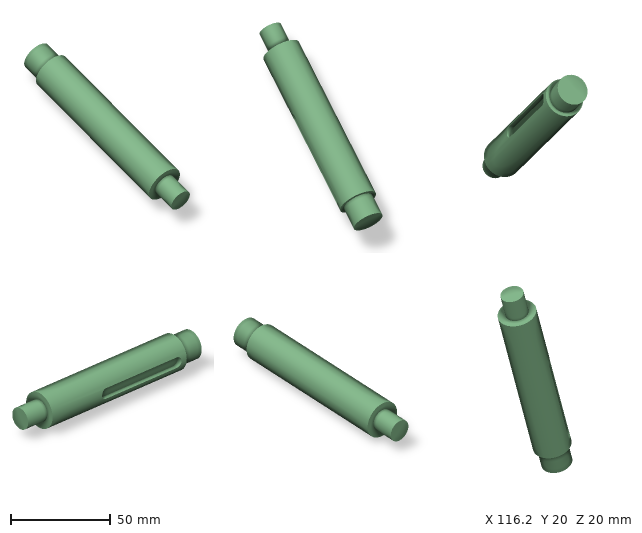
import cadquery as cq

total_length = 116.2
body_diameter = 20.0
left_journal_diameter = 16.0
left_journal_length = 12.0
right_journal_diameter = 12.0
right_journal_length = 13.0
body_length = total_length - left_journal_length - right_journal_length

keyway_width = 6.0
keyway_depth = 3.0
keyway_start = 3.5
keyway_length = 54.0


def shaft_step(start, length, diameter):
    """Cylinder along X beginning at the given X position."""
    return cq.Workplane("YZ", origin=(start, 0, 0)).circle(diameter / 2).extrude(length)


def keyway_cutter():
    """Round-ended bar reaching from the keyway floor out to the body surface."""
    center_x = left_journal_length + keyway_start + keyway_length / 2
    floor_y = body_diameter / 2 - keyway_depth
    return (
        cq.Workplane("XZ", origin=(center_x, floor_y, 0))
        .slot2D(keyway_length, keyway_width)
        .extrude(-body_diameter / 2)
    )


left_journal = shaft_step(0, left_journal_length, left_journal_diameter)
body = shaft_step(left_journal_length, body_length, body_diameter)
right_journal = shaft_step(left_journal_length + body_length, right_journal_length, right_journal_diameter)

result = left_journal.union(body).union(right_journal).cut(keyway_cutter())